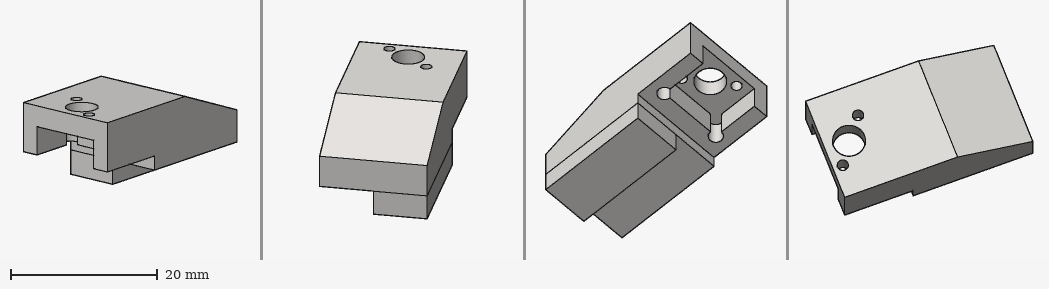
import cadquery as cq

WIDTH = 15.0
LENGTH = 27.5
HEIGHT = 12.5

BASE_HEIGHT = 3.5
BASE_WIDTH = WIDTH / 2

OVERHANG_LENGTH = 10.0
STEP_HEIGHT = 2.0
OVERHANG_BOTTOM = BASE_HEIGHT + STEP_HEIGHT

SLOPE_LENGTH = 11.0
SLOPE_DROP = 4.43

POCKET_WIDTH = 10.1
POCKET_HEIGHT = 4.05
POCKET_DEPTH = 7.32
CORNER_RELIEF_RADIUS = 1.05

MAIN_HOLE_DIAMETER = 4.48
MAIN_HOLE_Y = 3.5
SIDE_HOLE_DIAMETER = 1.5
SIDE_HOLE_OFFSETS = [(-3.02, 2.48), (3.02, -2.05)]


def make_housing():
    """Stepped housing with a sloped rear, a front pocket and three holes."""
    profile = [
        (0, OVERHANG_BOTTOM),
        (OVERHANG_LENGTH, OVERHANG_BOTTOM),
        (OVERHANG_LENGTH, BASE_HEIGHT),
        (LENGTH, BASE_HEIGHT),
        (LENGTH, HEIGHT - SLOPE_DROP),
        (LENGTH - SLOPE_LENGTH, HEIGHT),
        (0, HEIGHT),
    ]
    body = cq.Workplane("YZ").polyline(profile).close().extrude(WIDTH / 2, both=True)
    return body.cut(make_pocket()).cut(make_holes())


def make_pocket():
    """Pocket volume with a round corner relief centred on each rear corner."""
    plane = cq.Workplane("XY", origin=(0, 0, OVERHANG_BOTTOM))
    rear_corners = [(side * POCKET_WIDTH / 2, POCKET_DEPTH) for side in (-1, 1)]
    pocket = plane.center(0, POCKET_DEPTH / 2).rect(POCKET_WIDTH, POCKET_DEPTH).extrude(POCKET_HEIGHT)
    reliefs = plane.pushPoints(rear_corners).circle(CORNER_RELIEF_RADIUS).extrude(POCKET_HEIGHT)
    return pocket.union(reliefs)


def make_holes():
    """Cutters for the main hole and the small hole on either side of it."""
    plane = cq.Workplane("XY", origin=(0, MAIN_HOLE_Y, OVERHANG_BOTTOM))
    hole_length = HEIGHT - OVERHANG_BOTTOM
    main_hole = plane.circle(MAIN_HOLE_DIAMETER / 2).extrude(hole_length)
    side_holes = (
        plane.pushPoints(SIDE_HOLE_OFFSETS).circle(SIDE_HOLE_DIAMETER / 2).extrude(hole_length)
    )
    return main_hole.union(side_holes)


def make_base():
    """Plain block under the -X half of the housing, behind the overhang."""
    return cq.Workplane("XY").box(
        BASE_WIDTH, LENGTH - OVERHANG_LENGTH, BASE_HEIGHT, centered=False
    ).translate((-WIDTH / 2, OVERHANG_LENGTH, 0))


housing = make_housing()
base = make_base()

result = cq.Compound.makeCompound([housing.val(), base.val()])